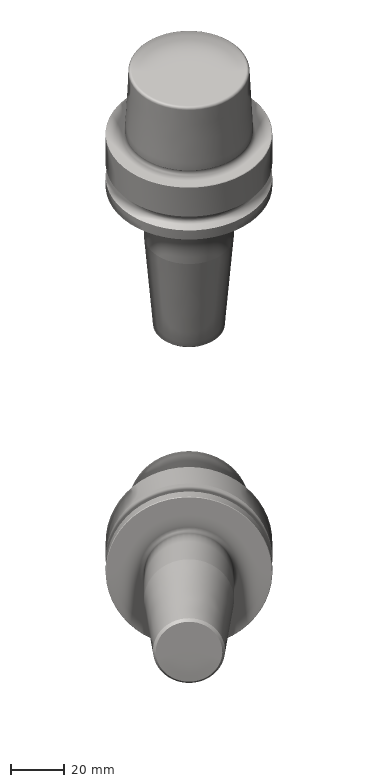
import cadquery as cq
import math

total_length = 126.9
flange_radius = 31.5
flange_length = 26.0
flange_edge_chamfer = 0.19

shank_length = 32.0
shank_top_radius = 22.8
shank_base_radius = 24.2
shank_edge_radius = 1.1
relief_radius = 23.7
relief_height = 2.2
relief_step = 0.5
relief_foot_radius = 1.5

groove_floor_radius = 27.4
groove_floor_width = 3.3
groove_mouth_width = 6.9
groove_center_below_face = 17.9
groove_corner_radius = 1.0

nose_radius = 17.0
nose_tip_radius = 13.6
nose_taper_length = 44.8
nose_edge_chamfer = 1.0
nose_foot_radius = 1.6

flange_top = total_length - shank_length
flange_bottom = flange_top - flange_length
groove_center = flange_top - groove_center_below_face
relief_top = flange_top + relief_height


def revolve_outline(outline):
    """Turn a half outline in the XZ plane around the Z axis."""
    return outline.close().revolve(360, (0, 0, 0), (0, 1, 0))


def make_nose():
    """Tapered nose, chamfered at the tip and flared where it meets the flange."""
    outline = (
        cq.Workplane("XZ")
        .lineTo(nose_tip_radius - nose_edge_chamfer, 0)
        .lineTo(nose_tip_radius, nose_edge_chamfer)
        .lineTo(nose_radius, nose_taper_length)
        .lineTo(nose_radius, flange_bottom - nose_foot_radius)
        .radiusArc((nose_radius + nose_foot_radius, flange_bottom), nose_foot_radius)
        .lineTo(0, flange_bottom)
    )
    return revolve_outline(outline)


def make_groove():
    """Ring with sloping walls and rounded floor corners, cut out of the flange rim."""
    half_floor = groove_floor_width / 2
    half_mouth = groove_mouth_width / 2
    depth = flange_radius - groove_floor_radius
    wall_angle = math.atan2(half_mouth - half_floor, depth)
    outer_radius = flange_radius + depth
    half_outer = half_floor + 2 * depth * math.tan(wall_angle)
    outline = (
        cq.Workplane("XZ")
        .moveTo(groove_floor_radius, groove_center - half_floor)
        .lineTo(outer_radius, groove_center - half_outer)
        .lineTo(outer_radius, groove_center + half_outer)
        .lineTo(groove_floor_radius, groove_center + half_floor)
    )
    floor_corners = cq.selectors.RadiusNthSelector(0)
    return revolve_outline(outline).edges("%CIRCLE").edges(floor_corners).fillet(groove_corner_radius)


def make_flange():
    """Flange disc with broken rims and the gripper groove."""
    disc = cq.Workplane("XY").workplane(offset=flange_bottom).circle(flange_radius).extrude(flange_length)
    return disc.edges("%CIRCLE").chamfer(flange_edge_chamfer).cut(make_groove())


def make_shank():
    """Tapered shank with a rounded top edge and a relief neck at its foot."""
    outline = (
        cq.Workplane("XZ")
        .moveTo(0, flange_top)
        .lineTo(relief_radius + relief_foot_radius, flange_top)
        .radiusArc((relief_radius, flange_top + relief_foot_radius), relief_foot_radius)
        .lineTo(relief_radius, relief_top - relief_step)
        .lineTo(shank_base_radius, relief_top)
        .lineTo(shank_top_radius, total_length)
        .lineTo(0, total_length)
    )
    return revolve_outline(outline).faces(">Z").edges().fillet(shank_edge_radius)


result = make_nose().union(make_flange()).union(make_shank())